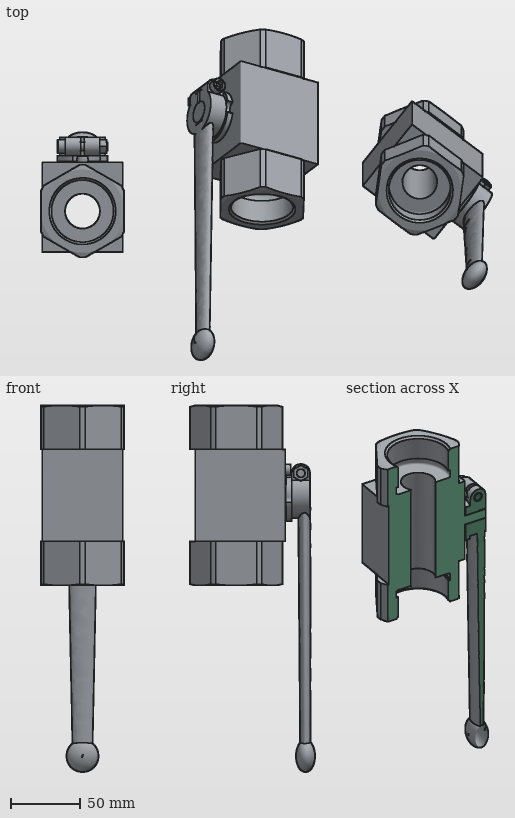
import cadquery as cq
import math


body_length = 130.0
block_height = 66.5
block_width = 58.2
block_back = 35.5
block_front = -29.6
block_edge_radius = 1.0
hex_across_flats = 60.0
hex_corner_diameter = 67.0
hex_chamfer_angle = 15.0
flow_bore_diameter = 25.0

thread_diameter = 44.85
port_mouth_diameter = 48.1
thread_depth = 18.4
port_depth = 24.2

stem_diameter = 16.0
pin_diameter = 8.0
pin_height = 4.0
pin_chamfer_height = 1.6
pin_chamfer_width = 0.2
pin_centre_z = 18.6

plate_radius = 18.8
plate_thickness = 4.2
plate_clearance = 0.4
plate_inner_radius = 13.0
stop_wall_x = -7.0
stop_wall_z = -5.0
stop_fillet = 3.3
plate_start = block_back + plate_clearance
notch_diameter = 9.0

hub_radius = 16.6
hub_width = 13.3
hub_start = plate_start + plate_thickness
hub_end = hub_start + hub_width
ear_width = 24.7
slit_width = 2.6

screw_z = 16.1
screw_y = hub_start + hub_width / 2
screw_diameter = 6.0
screw_hole_diameter = 6.5
screw_head_diameter = 10.0
screw_head_height = 5.8
screw_head_chamfer = 0.5
socket_across_flats = 5.0
socket_depth = 3.0
nut_across_flats = 10.0
nut_height = 5.0
thread_overhang = 0.8

knob_radius = 11.65
knob_half_thickness = 7.0
knob_y = 50.09
grip_end_z = -199.92
knob_z = grip_end_z + knob_radius
arm_back = 53.8
arm_root_z = -9.0
arm_root_width = 21.8
arm_root_thickness = 9.1
arm_tip_width = 14.4
arm_tip_thickness = 7.6

corners_per_flats = 1 / math.cos(math.radians(30))


def y_cylinder(radius, y_start, y_end, x=0.0, z=0.0):
    """Cylinder along +Y between two Y positions."""
    solid = cq.Solid.makeCylinder(radius, y_end - y_start, cq.Vector(x, y_start, z), cq.Vector(0, 1, 0))
    return cq.Workplane(obj=solid)


def x_cylinder(radius, x_start, x_end):
    """Cylinder along +X on the axis of the clamp screw."""
    origin = cq.Vector(x_start, screw_y, screw_z)
    return cq.Workplane(obj=cq.Solid.makeCylinder(radius, x_end - x_start, origin, cq.Vector(1, 0, 0)))


def box_between(low, high):
    """Box given by its lowest and highest corners."""
    size = [b - a for a, b in zip(low, high)]
    return cq.Workplane().box(*size, centered=False).translate(low)


def make_block():
    """Middle block with its two long back edges rounded."""
    half = block_width / 2
    block = box_between(
        (-half, block_front, -block_height / 2),
        (half, block_back, block_height / 2),
    )
    return block.edges("|Z and >Y").fillet(block_edge_radius)


def make_hex_ends():
    """Hexagon at each end of the block, corners turned down and outer faces chamfered."""
    flat_radius = hex_across_flats / 2
    corner_radius = hex_corner_diameter / 2
    chamfer_height = (corner_radius - flat_radius) * math.tan(math.radians(hex_chamfer_angle))
    hexagon = (
        cq.Workplane()
        .polygon(6, hex_across_flats * corners_per_flats)
        .extrude(body_length / 2, both=True)
        .rotate((0, 0, 0), (0, 0, 1), 30)
    )
    half = body_length / 2
    envelope = (
        cq.Workplane("XZ")
        .moveTo(0, -half)
        .lineTo(flat_radius, -half)
        .lineTo(corner_radius, -half + chamfer_height)
        .lineTo(corner_radius, half - chamfer_height)
        .lineTo(flat_radius, half)
        .lineTo(0, half)
        .close()
        .revolve(360, (0, 0), (0, 1))
    )
    middle = cq.Workplane().box(hex_corner_diameter, hex_corner_diameter, block_height)
    return hexagon.intersect(envelope).cut(middle)


def make_port():
    """Cutter for the upper port: mouth chamfer, thread core, relief groove with a rounded floor."""
    core = thread_diameter / 2
    mouth = port_mouth_diameter / 2
    bevel = mouth - core
    top = body_length / 2
    return (
        cq.Workplane("XZ")
        .moveTo(0, top)
        .lineTo(mouth, top)
        .lineTo(core, top - bevel)
        .lineTo(core, top - thread_depth)
        .lineTo(mouth, top - thread_depth)
        .lineTo(mouth, top - port_depth + bevel)
        .radiusArc((core, top - port_depth), bevel)
        .lineTo(0, top - port_depth)
        .close()
        .revolve(360, (0, 0), (0, 1))
    )


def make_stop_pin():
    """Pin on the block with a slim lead-in cone."""
    pin = y_cylinder(pin_diameter / 2, block_back, block_back + pin_height, z=pin_centre_z)
    return pin.faces(">Y").chamfer(pin_chamfer_height, pin_chamfer_width)


def make_valve_body():
    port = make_port()
    body = make_block().union(make_hex_ends())
    body = body.cut(port).cut(port.mirror("XY"))
    body = body.cut(cq.Workplane().circle(flow_bore_diameter / 2).extrude(body_length / 2, both=True))
    stem = y_cylinder(stem_diameter / 2, block_back, hub_end)
    return body.union(stem).union(make_stop_pin())


def make_stop_plate():
    """Disc with a stop sector open to +X +Z and a half-round notch at -X."""
    plate = y_cylinder(plate_radius, plate_start, hub_start)
    reach = 2 * plate_radius
    sector = box_between((stop_wall_x, plate_start, stop_wall_z), (reach, hub_start, reach))
    sector = sector.cut(y_cylinder(plate_inner_radius, plate_start, hub_start))
    inner_corners = cq.selectors.BoxSelector(
        (stop_wall_x - 1, plate_start, stop_wall_z - 1),
        (plate_inner_radius, hub_start, plate_inner_radius),
    )
    sector = sector.edges("|Y").edges(inner_corners).fillet(stop_fillet)
    notch = y_cylinder(notch_diameter / 2, plate_start, hub_start, x=-plate_radius)
    return plate.cut(sector).cut(notch)


def make_hub():
    """Round hub with a pair of rounded clamping ears."""
    half = ear_width / 2
    ears = box_between((-half, hub_start, 0), (half, hub_end, screw_z))
    ears = ears.union(x_cylinder(hub_width / 2, -half, half))
    return y_cylinder(hub_radius, hub_start, hub_end).union(ears)


def make_arm():
    """Elliptical arm tapering from the hub down to the knob."""
    root_y = arm_back - arm_root_thickness / 2
    tip_y = arm_back - arm_tip_thickness / 2
    return (
        cq.Workplane("XY", origin=(0, 0, arm_root_z))
        .center(0, root_y)
        .ellipse(arm_root_thickness / 2, arm_root_width / 2, rotation_angle=-90)
        .workplane(offset=knob_z - arm_root_z)
        .center(0, tip_y - root_y)
        .ellipse(arm_tip_thickness / 2, arm_tip_width / 2, rotation_angle=-90)
        .loft(ruled=True)
    )


def make_knob():
    """Flattened ball: half an ellipse turned about an axis along Y."""
    return (
        cq.Workplane("XY", origin=(0, knob_y, knob_z))
        .moveTo(0, -knob_half_thickness)
        .ellipseArc(knob_radius, knob_half_thickness, -90, 90, startAtCurrent=True)
        .close()
        .revolve(360, (0, 0), (0, 1))
    )


def make_lever():
    lever = make_hub().union(make_stop_plate()).union(make_arm()).union(make_knob())
    lever = lever.cut(y_cylinder(stem_diameter / 2, plate_start, hub_end))
    slit = box_between(
        (-slit_width / 2, hub_start, 0),
        (slit_width / 2, hub_end, screw_z + hub_width),
    )
    screw_hole = x_cylinder(screw_hole_diameter / 2, -ear_width / 2, ear_width / 2)
    return lever.cut(slit).cut(screw_hole)


def hex_prism(across_flats, x_start, length):
    """Hexagonal prism along +X on the screw axis, one corner pointing up."""
    return (
        cq.Workplane("YZ", origin=(x_start, screw_y, screw_z))
        .transformed(rotate=(0, 0, 90))
        .polygon(6, across_flats * corners_per_flats)
        .extrude(length)
    )


def make_clamp_screw():
    """Socket head screw together with its nut."""
    half = ear_width / 2
    head_end = -half - screw_head_height
    head = x_cylinder(screw_head_diameter / 2, head_end, -half)
    head = head.faces("<X").chamfer(screw_head_chamfer)
    shank = x_cylinder(screw_diameter / 2, -half, half + nut_height + thread_overhang)
    nut = hex_prism(nut_across_flats, half, nut_height)
    socket = hex_prism(socket_across_flats, head_end, socket_depth)
    socket_cone = cq.Solid.makeCone(
        socket_across_flats / 2,
        0,
        socket_across_flats / 2,
        cq.Vector(head_end + socket_depth, screw_y, screw_z),
        cq.Vector(1, 0, 0),
    )
    return head.union(shank).union(nut).cut(socket).cut(cq.Workplane(obj=socket_cone))


valve_body = make_valve_body()
lever = make_lever()
clamp_screw = make_clamp_screw()

result = cq.Compound.makeCompound([valve_body.val(), lever.val(), clamp_screw.val()])